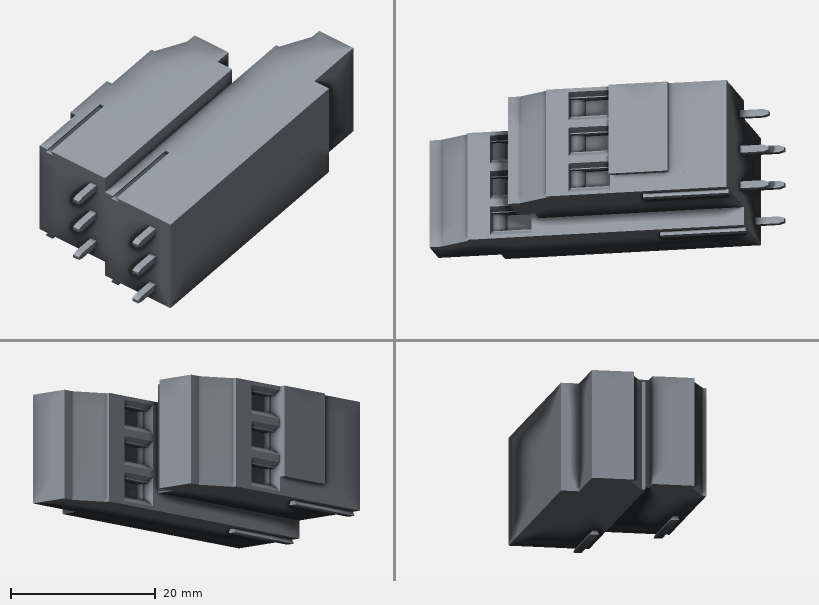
import cadquery as cq
import math


POLES = 3
STACK_HEIGHT = 15.25
PITCH = STACK_HEIGHT / POLES
HALF_PITCH = PITCH / 2
SEAM_CHAMFER = 0.5

BLOCK_WIDTH = 22.7
TIER_WIDTH = BLOCK_WIDTH / 2
TALL_LENGTH = 45.0
LOW_LENGTH = 31.45
HEAD_LEFT = 2.9
HEAD_RIGHT = 8.8
HEAD_SIDE = 1.6
SLANT_DROP = 6.0
SLANT_LEDGE = 0.55
LOW_SHOULDER = 28.95
TALL_SHOULDER = 36.1

OPENING_DROP = 9.15
OPENING_LENGTH = 5.85
MOUTH_HEIGHT = 4.0
THROAT_HEIGHT = 2.9
FUNNEL_DEPTH = 0.85
CHAMBER_HEIGHT = 2.6
WALL_DEPTH = 1.6
WALL_STRIP = 0.75
END_STRIP = 0.45
WALL_RADIUS = 1.22
ROUND_LENGTH = 1.2
CHAMBER_DEPTH = WALL_DEPTH + WALL_RADIUS - math.sqrt(WALL_RADIUS**2 - ROUND_LENGTH**2)

RAIL_DEPTH = 0.9
RAIL_START = 8.2
RAIL_END = LOW_LENGTH - OPENING_DROP - OPENING_LENGTH

DOVETAIL_OFFSET = 1.65
DOVETAIL_NECK = 0.65
DOVETAIL_BASE = 1.22
DOVETAIL_DEPTH = 0.6
DOVETAIL_LENGTH = 12.05

PIN_SIZE = 1.0
PIN_LENGTH = 4.0
PIN_TAPER = 0.8
PIN_TIP = 0.5
LOW_PIN_X = 9.35
TALL_PIN_X = TIER_WIDTH + 8.3

LOW_TIER = (0, 0, LOW_LENGTH, LOW_SHOULDER, LOW_PIN_X)
TALL_TIER = (TIER_WIDTH, -HALF_PITCH, TALL_LENGTH, TALL_SHOULDER, TALL_PIN_X)


def prism_along_y(points, start, end):
    """Extrude an (x, z) outline from Y = start to Y = end."""
    plane = cq.Workplane("XZ", origin=(0, start, 0))
    return plane.polyline(points).close().extrude(start - end)


def tier_block(x, z, length, shoulder):
    """Plain tier with a slanted head."""
    slant_foot = length - SLANT_DROP
    outline = [
        (x, 0),
        (x + TIER_WIDTH, 0),
        (x + TIER_WIDTH, shoulder),
        (x + HEAD_RIGHT, shoulder),
        (x + HEAD_RIGHT, length),
        (x + HEAD_LEFT, length),
        (x + HEAD_LEFT, length - HEAD_SIDE),
        (x + SLANT_LEDGE, slant_foot),
        (x, slant_foot),
    ]
    plane = cq.Workplane("XY", origin=(0, 0, z))
    return plane.polyline(outline).close().extrude(STACK_HEIGHT)


def wire_opening(x, length, z):
    """Funnel mouth and rounded clamp chamber, centred on height z."""
    top = length - OPENING_DROP
    bottom = top - OPENING_LENGTH
    mouth = MOUTH_HEIGHT / 2
    throat = THROAT_HEIGHT / 2
    funnel = prism_along_y(
        [(x, z - mouth), (x + FUNNEL_DEPTH, z - throat), (x + FUNNEL_DEPTH, z + throat), (x, z + mouth)],
        bottom,
        top,
    )
    round_start = top - WALL_STRIP
    round_end = round_start - ROUND_LENGTH
    chamber = (
        cq.Workplane("XY", origin=(x, 0, z))
        .moveTo(FUNNEL_DEPTH, bottom)
        .lineTo(FUNNEL_DEPTH, top)
        .lineTo(WALL_DEPTH, top)
        .lineTo(WALL_DEPTH, round_start)
        .radiusArc((CHAMBER_DEPTH, round_end), -WALL_RADIUS)
        .lineTo(CHAMBER_DEPTH, bottom + END_STRIP)
        .lineTo(WALL_DEPTH, bottom + END_STRIP)
        .lineTo(WALL_DEPTH, bottom)
        .close()
        .extrude(CHAMBER_HEIGHT / 2, both=True)
    )
    return funnel.union(chamber)


def dovetail(x, z):
    """Dovetail key whose narrow neck lies at height z."""
    centre = x + DOVETAIL_OFFSET
    neck = DOVETAIL_NECK / 2
    base = DOVETAIL_BASE / 2
    foot = z - DOVETAIL_DEPTH
    outline = [(centre - neck, z), (centre + neck, z), (centre + base, foot), (centre - base, foot)]
    return prism_along_y(outline, 0, DOVETAIL_LENGTH)


def pin(x, z):
    """Square solder pin with a tip tapered in Z."""
    half = PIN_SIZE / 2
    tip = PIN_TIP / 2
    taper_start = PIN_TAPER - PIN_LENGTH
    outline = [
        (0, z - half),
        (taper_start, z - half),
        (-PIN_LENGTH, z - tip),
        (-PIN_LENGTH, z + tip),
        (taper_start, z + half),
        (0, z + half),
    ]
    plane = cq.Workplane("YZ", origin=(x, 0, 0))
    return plane.polyline(outline).close().extrude(half, both=True)


def full_tier(x, z, length, shoulder, pin_x):
    """Tier with its dovetails, wire openings and pins."""
    tier = tier_block(x, z, length, shoulder)
    tier = tier.union(dovetail(x, z)).cut(dovetail(x, z + STACK_HEIGHT))
    for pole in range(POLES):
        centre = z + (pole + 0.5) * PITCH
        tier = tier.cut(wire_opening(x, length, centre)).union(pin(pin_x, centre))
    return tier


def rail():
    """Rail on the low tier, from the lowest seam up to the top."""
    plane = cq.Workplane("XY", origin=(-RAIL_DEPTH, RAIL_START, HALF_PITCH))
    return plane.box(RAIL_DEPTH, RAIL_END - RAIL_START, STACK_HEIGHT - HALF_PITCH, centered=False)


def seam(level):
    """Stepped (x, z) line from -X to +X through the pole centres; level 0 is the lowest pole."""
    high = (level + 0.5) * PITCH
    low = high - HALF_PITCH
    return [
        (-RAIL_DEPTH, high),
        (TIER_WIDTH - SEAM_CHAMFER, high),
        (TIER_WIDTH, high - SEAM_CHAMFER),
        (TIER_WIDTH, low + SEAM_CHAMFER),
        (TIER_WIDTH + SEAM_CHAMFER, low),
        (BLOCK_WIDTH, low),
    ]


def slice_between(lower_level, upper_level):
    """Space between two seams, over the whole length of the block."""
    outline = seam(lower_level) + seam(upper_level)[::-1]
    return prism_along_y(outline, -PIN_LENGTH, TALL_LENGTH)


block = full_tier(*LOW_TIER).union(full_tier(*TALL_TIER)).union(rail())

BOTTOM_SEAM = 0
TOP_SEAM = POLES - 1
BEYOND_STACK = 2

bottom_module = block.intersect(slice_between(BOTTOM_SEAM - BEYOND_STACK, BOTTOM_SEAM)).solids()

middle_modules = []
for level in range(BOTTOM_SEAM, TOP_SEAM):
    middle_modules.append(block.intersect(slice_between(level, level + 1)).solids())

top_module = block.intersect(slice_between(TOP_SEAM, TOP_SEAM + BEYOND_STACK)).solids()

result = cq.Compound.makeCompound(
    [bottom_module.val(), *[module.val() for module in middle_modules], top_module.val()]
)